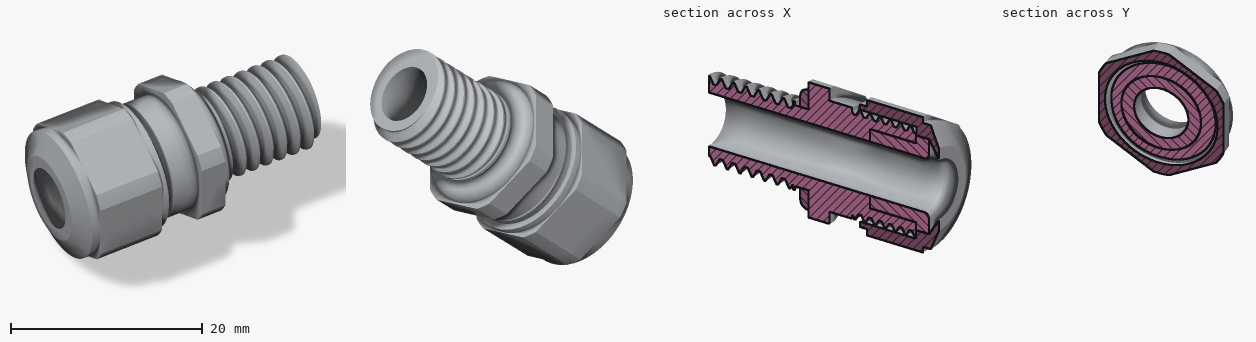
import cadquery as cq
import math

LENGTH = 29.95
BORE_R = 3.05

ACROSS_FLATS = 14.22
CORNER_R = 7.75

THREAD_PITCH = 1.62
CAP_THREAD_PITCH = 1.32
FLANK_ANGLE = 30.0
CREST_PER_PITCH = 1 / 8
GROOVE_OVERSHOOT = 0.1

BODY_MOUTH_Y = 3.0
BARREL_Y = 11.3
HEX_Y = 14.2
NECK_Y = 17.05
COLLAR_Y = 18.68
THREAD_Y = 19.0

BARREL_R = 6.38
CAP_THREAD_ROOT_R = 5.65
NECK_R = 4.67
THREAD_R = 5.1
THREAD_ROOT_R = 4.2

CAP_GROOVE_Y = 2.07
THREAD_GROOVE_Y = THREAD_Y - THREAD_PITCH / 2

RING_R = 6.9
RING_THICKNESS = 1.05

CAP_NOSE_R = 4.7
CAP_NOSE_Y = 1.08
CAP_HEX_Y = 2.1
CAP_COLLAR_Y = 9.43
CAP_END_Y = 10.3
CAP_COLLAR_R = 7.05
CAP_HOLE_R = 3.38

SEAL_FACE_Y = 1.32
SEAL_HEAD_R = 5.4
SEAL_SLEEVE_R = 4.5
SEAL_END_Y = 8.98
SEAL_FILLET = 0.63


def turned(points):
    """Solid of revolution around Y from a closed (radius, y) outline."""
    return cq.Workplane("XY").polyline(points).close().revolve(360, (0, 0), (0, 1))


def cylinder(radius, y_start, y_end):
    """Round bar around Y between two stations."""
    return cq.Workplane("XZ", origin=(0, y_start, 0)).circle(radius).extrude(y_start - y_end)


def hexagon(y_start, y_end):
    """Hexagonal length around Y with its six corners turned round."""
    prism = (
        cq.Workplane("XZ", origin=(0, y_start, 0))
        .polygon(6, ACROSS_FLATS, circumscribed=True)
        .extrude(y_start - y_end)
    )
    return prism.intersect(cylinder(CORNER_R, y_start, y_end))


def thread_groove(pitch, crest_r, root_r, first_y, y_end):
    """Helical groove that starts on the +X side at first_y and ends one pitch past y_end."""
    outer_r = crest_r + GROOVE_OVERSHOOT
    slope = math.tan(math.radians(FLANK_ANGLE))
    half_at_crest = pitch * (1 - CREST_PER_PITCH) / 2
    half_at_root = half_at_crest - (crest_r - root_r) * slope
    half_at_outer = half_at_crest + GROOVE_OVERSHOOT * slope
    corners = [
        (root_r, -half_at_root),
        (outer_r, -half_at_outer),
        (outer_r, half_at_outer),
        (root_r, half_at_root),
    ]
    height = y_end + pitch - first_y

    def end_face(z):
        angle = 2 * math.pi * z / pitch
        points = [
            cq.Vector(radius * math.cos(angle), radius * math.sin(angle), z + offset)
            for radius, offset in corners
        ]
        return cq.Face.makeFromWires(cq.Wire.makePolygon(points, close=True))

    helices = [
        cq.Wire.makeHelix(pitch, height, radius, cq.Vector(0, 0, offset))
        for radius, offset in corners
    ]
    next_helices = helices[1:] + helices[:1]
    faces = [cq.Face.makeRuledSurface(one, other) for one, other in zip(helices, next_helices)]
    shell = cq.Shell.makeShell(faces + [end_face(0), end_face(height)])
    groove = cq.Workplane(obj=cq.Solid.makeSolid(shell))

    return groove.rotate((0, 0, 0), (1, 0, 0), -90).translate((0, first_y, 0))


def threaded_length(pitch, crest_r, root_r, y_start, y_end, first_groove_y):
    """Round bar with a helical groove through its whole length."""
    margin = 3 * pitch
    long_bar = cylinder(crest_r, first_groove_y - margin, y_end + margin)
    groove = thread_groove(pitch, crest_r, root_r, first_groove_y, y_end)
    return long_bar.cut(groove).intersect(cylinder(crest_r + GROOVE_OVERSHOOT, y_start, y_end))


def make_gland_body():
    """Threaded cap end, barrel, hexagon, neck with collar, and connection thread, bored through."""
    cap_thread = threaded_length(
        CAP_THREAD_PITCH, BARREL_R, CAP_THREAD_ROOT_R, BODY_MOUTH_Y, BARREL_Y, CAP_GROOVE_Y
    )
    thread = threaded_length(
        THREAD_PITCH, THREAD_R, THREAD_ROOT_R, THREAD_Y, LENGTH, THREAD_GROOVE_Y
    )
    return (
        cap_thread
        .union(cylinder(BARREL_R, BARREL_Y, HEX_Y))
        .union(hexagon(HEX_Y, NECK_Y))
        .union(cylinder(NECK_R, NECK_Y, COLLAR_Y))
        .union(cylinder(THREAD_R, COLLAR_Y, THREAD_Y))
        .union(thread)
        .cut(cylinder(BORE_R, BODY_MOUTH_Y, LENGTH))
        .cut(cylinder(SEAL_SLEEVE_R, BODY_MOUTH_Y, SEAL_END_Y))
    )


def make_sealing_ring():
    """Ring on the neck, against the hexagon, with its far outer edge fully rounded."""
    ring_end_y = NECK_Y + RING_THICKNESS
    flat_r = RING_R - RING_THICKNESS
    middle_of_arc = RING_THICKNESS * math.sqrt(0.5)
    return (
        cq.Workplane("XY")
        .moveTo(NECK_R, NECK_Y)
        .lineTo(RING_R, NECK_Y)
        .threePointArc((flat_r + middle_of_arc, NECK_Y + middle_of_arc), (flat_r, ring_end_y))
        .lineTo(NECK_R, ring_end_y)
        .close()
        .revolve(360, (0, 0), (0, 1))
    )


def make_cap_nut():
    """Hexagonal cap with a conical nose; its front hole widens inward to the seal head."""
    nose = turned([
        (0, 0),
        (CAP_NOSE_R, 0),
        (ACROSS_FLATS / 2, CAP_NOSE_Y),
        (ACROSS_FLATS / 2, CAP_HEX_Y),
        (0, CAP_HEX_Y),
    ])
    cavity = turned([
        (0, 0),
        (CAP_HOLE_R, 0),
        (SEAL_HEAD_R, SEAL_FACE_Y),
        (SEAL_HEAD_R, BODY_MOUTH_Y),
        (BARREL_R, BODY_MOUTH_Y),
        (BARREL_R, CAP_END_Y),
        (0, CAP_END_Y),
    ])
    return (
        nose
        .union(hexagon(CAP_HEX_Y, CAP_COLLAR_Y))
        .union(cylinder(CAP_COLLAR_R, CAP_COLLAR_Y, CAP_END_Y))
        .cut(cavity)
    )


def make_seal_insert():
    """Headed sleeve with a rounded entry to its bore."""
    head = cylinder(SEAL_HEAD_R, SEAL_FACE_Y, BODY_MOUTH_Y)
    sleeve = cylinder(SEAL_SLEEVE_R, BODY_MOUTH_Y, SEAL_END_Y)
    bored = head.union(sleeve).cut(cylinder(BORE_R, SEAL_FACE_Y, SEAL_END_Y))
    return bored.faces("<Y").edges(cq.selectors.RadiusNthSelector(0)).fillet(SEAL_FILLET)


gland_body = make_gland_body()
sealing_ring = make_sealing_ring()
cap_nut = make_cap_nut()
seal_insert = make_seal_insert()

result = cq.Compound.makeCompound([
    gland_body.solids().val(),
    sealing_ring.solids().val(),
    cap_nut.solids().val(),
    seal_insert.solids().val(),
])